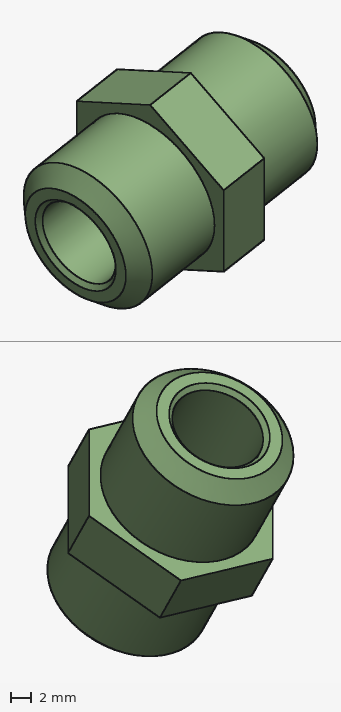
import cadquery as cq
import math

length = 28.0
hex_across_flats = 19.0
hex_width = 6.0
body_diameter = 16.65
end_chamfer = 1.82
bore_diameter = 9.4
bore_chamfer = 0.5

half_length = length / 2
body_radius = body_diameter / 2
bore_radius = bore_diameter / 2
hex_across_corners = hex_across_flats / math.cos(math.radians(30))


def make_body():
    """Cylinder along Y with chamfered outer ends."""
    body = cq.Workplane("XZ").circle(body_radius).extrude(half_length, both=True)
    return body.faces("<Y or >Y").chamfer(end_chamfer)


def make_hex():
    """Central hexagon with two corners pointing along Z."""
    return (
        cq.Workplane("XZ")
        .transformed(rotate=(0, 0, 90))
        .polygon(6, hex_across_corners)
        .extrude(hex_width / 2, both=True)
    )


def make_bore():
    """Through bore about Y, widening in a 45 degree cone at each end."""
    mouth_radius = bore_radius + bore_chamfer
    cone_start = half_length - bore_chamfer
    return (
        cq.Workplane("XY")
        .moveTo(0, -half_length)
        .lineTo(mouth_radius, -half_length)
        .lineTo(bore_radius, -cone_start)
        .lineTo(bore_radius, cone_start)
        .lineTo(mouth_radius, half_length)
        .lineTo(0, half_length)
        .close()
        .revolve(360, (0, 0, 0), (0, 1, 0))
    )


result = make_body().union(make_hex()).cut(make_bore())